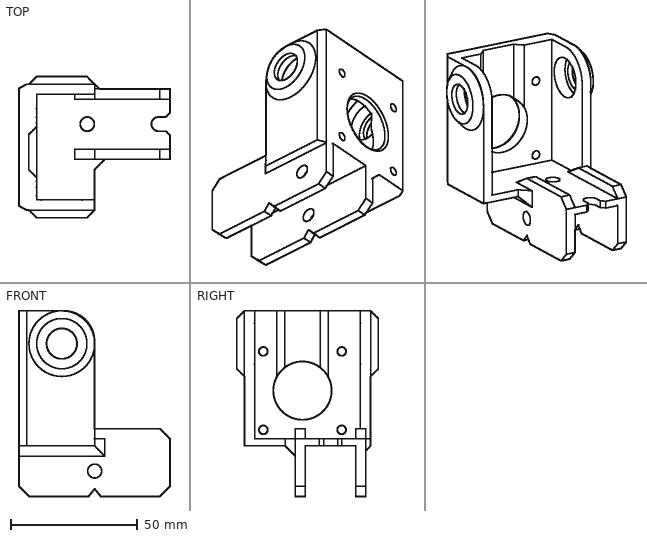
import cadquery as cq

height = 73.5
boss_span = 56.0
length = 59.85

cheek_depth = 30.0
cheek_span = 49.9
wall = 4.05
back_thickness = 7.05
yoke_bottom = 20.0
cheek_corner_radius = 12.2
edge_chamfer_x = 3.1
edge_chamfer_y = 1.7

boss_radius = 13.0
boss_height = (boss_span - cheek_span) / 2
boss_x = cheek_depth - boss_radius
boss_z = height - boss_radius
pivot_diameter = 12.0
bearing_diameter = 16.25
bearing_depth = 5.0
bearing_lip = boss_height + wall - bearing_depth

motor_y = -2.0
motor_z = 41.9
bore_diameter = 23.0
bore_rim_chamfer = 0.95
bolt_diameter = 3.4
bolt_pitch = 31.0
relief_depth = 3.1
relief_width = 14.05

floor_thickness = 2.9
floor_top = yoke_bottom + floor_thickness
fork_height = 26.9
fork_outer_y = 23.1
fork_span = 27.95
fork_near_y = fork_outer_y - fork_span
fork_mid_y = fork_outer_y - fork_span / 2
fork_corner = 4.05
ramp_length = 7.9
notch_half_width = 2.4
notch_depth = 2.95
gusset_leg = 4.05

pin_diameter = 5.5
floor_hole_x = 27.05
slot_end_x = 52.5
slot_mouth_chamfer = 1.7
near_hole_x = cheek_depth
far_hole_x = 12.7
fork_hole_z = 10.1


def y_cylinder(diameter, x, z, y_start, y_end):
    """Cylinder along +Y from y_start to y_end."""
    direction = cq.Vector(0, 1, 0)
    solid = cq.Solid.makeCylinder(diameter / 2, y_end - y_start, cq.Vector(x, y_start, z), direction)
    return cq.Workplane(obj=solid)


def x_cylinder(diameter, y, z, x_end):
    """Cylinder along +X from the back face to x_end."""
    direction = cq.Vector(1, 0, 0)
    return cq.Workplane(obj=cq.Solid.makeCylinder(diameter / 2, x_end, cq.Vector(0, y, z), direction))


def xz_plate(points, y_start, y_end):
    """Plate with an XZ outline, spanning y_start to y_end."""
    return cq.Workplane("XZ", origin=(0, y_end, 0)).polyline(points).close().extrude(y_end - y_start)


def make_yoke():
    half = cheek_span / 2
    outline = [
        (edge_chamfer_x, -half),
        (cheek_depth, -half),
        (cheek_depth, wall - half),
        (back_thickness, wall - half),
        (back_thickness, half - wall),
        (cheek_depth, half - wall),
        (cheek_depth, half),
        (edge_chamfer_x, half),
        (0, half - edge_chamfer_y),
        (0, edge_chamfer_y - half),
    ]
    yoke = (
        cq.Workplane("XY", origin=(0, 0, yoke_bottom))
        .polyline(outline).close().extrude(height - yoke_bottom)
    )
    side = (
        cq.Workplane("XZ", origin=(0, half, 0))
        .moveTo(0, yoke_bottom)
        .lineTo(cheek_depth, yoke_bottom)
        .lineTo(cheek_depth, height - cheek_corner_radius)
        .radiusArc((cheek_depth - cheek_corner_radius, height), -cheek_corner_radius)
        .lineTo(0, height)
        .close().extrude(cheek_span)
    )
    return yoke.intersect(side)


def make_boss(side):
    """Conical boss on the cheek at the given Y side (+1 or -1)."""
    base = cq.Vector(boss_x, side * cheek_span / 2, boss_z)
    axis = cq.Vector(0, side, 0)
    return cq.Workplane(obj=cq.Solid.makeCone(boss_radius, boss_radius - boss_height, boss_height, base, axis))


def make_floor():
    yoke_floor = (
        cq.Workplane("XY", origin=(0, 0, yoke_bottom))
        .rect(cheek_depth, cheek_span).extrude(floor_thickness)
        .translate((cheek_depth / 2, 0, 0))
        .intersect(make_corner_trim())
    )
    fork_floor = cq.Workplane("XY").box(length, fork_span, floor_thickness, centered=(False, True, False))
    return yoke_floor.union(fork_floor.translate((0, fork_mid_y, yoke_bottom)))


def make_fork(y_start):
    middle = cheek_depth
    outline = [
        (fork_corner, 0),
        (middle - notch_half_width, 0),
        (middle, notch_depth),
        (middle + notch_half_width, 0),
        (length - fork_corner, 0),
        (length, fork_corner),
        (length, fork_height - fork_corner),
        (length - fork_corner, fork_height),
        (cheek_depth, fork_height),
        (cheek_depth - ramp_length, floor_top),
        (0, floor_top),
        (0, fork_corner),
    ]
    return xz_plate(outline, y_start, y_start + wall)


def make_gusset(fork_face_y, side, leg):
    """Gusset filling the corner under the floor, with its front end bevelled at 45 degrees."""
    section = [
        (fork_face_y, floor_top),
        (fork_face_y + side * leg, floor_top),
        (fork_face_y + side * leg, yoke_bottom),
        (fork_face_y, yoke_bottom - leg),
    ]
    footprint = [
        (0, fork_face_y),
        (cheek_depth + leg, fork_face_y),
        (cheek_depth, fork_face_y + side * leg),
        (0, fork_face_y + side * leg),
    ]
    bar = cq.Workplane("YZ").polyline(section).close().extrude(cheek_depth + leg)
    bevel = cq.Workplane("XY").polyline(footprint).close().extrude(height)
    return bar.intersect(bevel).intersect(make_corner_trim())


def make_corner_trim():
    """Block whose back vertical edges carry the yoke chamfer."""
    half = cheek_span / 2
    outline = [
        (edge_chamfer_x, -half),
        (length, -half),
        (length, half),
        (edge_chamfer_x, half),
        (0, half - edge_chamfer_y),
        (0, edge_chamfer_y - half),
    ]
    return cq.Workplane("XY").polyline(outline).close().extrude(height)


def cut_pivots(body):
    body = body.cut(y_cylinder(pivot_diameter, boss_x, boss_z, -boss_span / 2, boss_span / 2))
    seat = boss_span / 2 - bearing_lip
    return body.cut(y_cylinder(bearing_diameter, boss_x, boss_z, -seat, seat))


def cut_motor_mount(body):
    body = body.cut(x_cylinder(bore_diameter, motor_y, motor_z, back_thickness))
    rim_radius = bore_diameter / 2 + bore_rim_chamfer
    rim = cq.Solid.makeCone(
        rim_radius, bore_diameter / 2, bore_rim_chamfer, cq.Vector(0, motor_y, motor_z), cq.Vector(1, 0, 0)
    )
    body = body.cut(cq.Workplane(obj=rim))
    for y_side in (-1, 1):
        for z_side in (-1, 1):
            y = motor_y + y_side * bolt_pitch / 2
            z = motor_z + z_side * bolt_pitch / 2
            body = body.cut(x_cylinder(bolt_diameter, y, z, back_thickness))
    inner_half = relief_width / 2
    outer_half = inner_half + relief_depth
    channel = [
        (back_thickness - relief_depth, motor_y - inner_half),
        (back_thickness, motor_y - outer_half),
        (back_thickness, motor_y + outer_half),
        (back_thickness - relief_depth, motor_y + inner_half),
    ]
    relief = cq.Workplane("XY", origin=(0, 0, motor_z)).polyline(channel).close().extrude(height - motor_z)
    return body.cut(relief)


def cut_floor_openings(body):
    radius = pin_diameter / 2
    hole = cq.Workplane("XY").center(floor_hole_x, fork_mid_y).circle(radius).extrude(height / 2)
    slot_center_x = slot_end_x + radius
    mouth_x = length - slot_mouth_chamfer
    mouth_half = radius + slot_mouth_chamfer
    slot = (
        cq.Workplane("XY")
        .moveTo(slot_center_x, fork_mid_y - radius)
        .lineTo(mouth_x, fork_mid_y - radius)
        .lineTo(length, fork_mid_y - mouth_half)
        .lineTo(length, fork_mid_y + mouth_half)
        .lineTo(mouth_x, fork_mid_y + radius)
        .lineTo(slot_center_x, fork_mid_y + radius)
        .threePointArc((slot_end_x, fork_mid_y), (slot_center_x, fork_mid_y - radius))
        .close().extrude(height / 2)
    )
    return body.cut(hole).cut(slot)


def cut_fork_holes(body):
    """One hole through each fork plate, at different distances from the back."""
    for hole_x, y_start in ((near_hole_x, fork_near_y), (far_hole_x, fork_outer_y - wall)):
        body = body.cut(y_cylinder(pin_diameter, hole_x, fork_hole_z, y_start, y_start + wall))
    return body


body = make_yoke().union(make_floor())
for boss_side in (-1, 1):
    body = body.union(make_boss(boss_side))
for fork_y in (fork_near_y, fork_outer_y - wall):
    body = body.union(make_fork(fork_y))
body = body.union(make_gusset(fork_near_y, -1, gusset_leg))
body = body.union(make_gusset(fork_outer_y, 1, cheek_span / 2 - fork_outer_y))

body = cut_pivots(body)
body = cut_motor_mount(body)
body = cut_floor_openings(body)
result = cut_fork_holes(body)